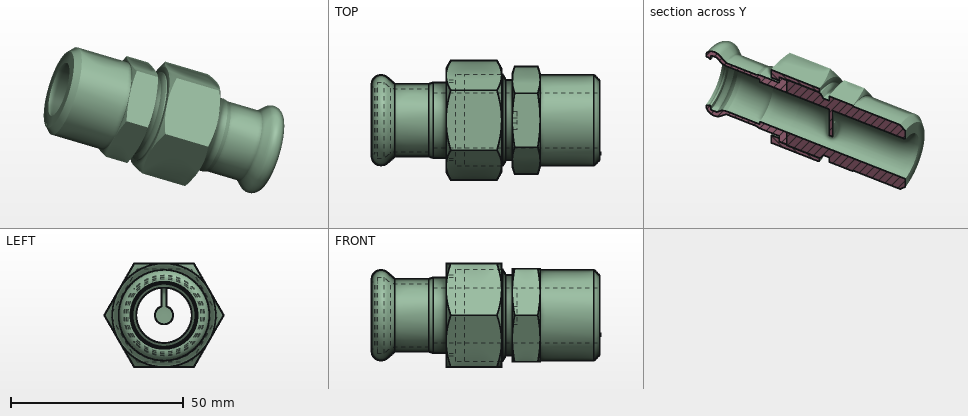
import cadquery as cq
import math


bead_tube_radius = 2.8
bead_outer_radius = 26.3 / 2
bead_cone_angle = math.radians(41)
bead_ring_radius = bead_outer_radius - bead_tube_radius
tube_radius = 21.2 / 2
sleeve_radius = 22.0 / 2
sleeve_start = 17.85
sleeve_taper = 1.2
collar_length = 2.65
lip_radius = 9.75
lip_depth = 0.8
mouth_radius = 18.8 / 2
mouth_start = 1.25
mouth_end = 1.7
groove_end = 5.45
groove_radius = 11.0
socket_radius = 18.2 / 2
socket_start = 6.9
socket_end = sleeve_start
bore_radius = 16.0 / 2

nut_start = 21.65
nut_end = 37.7
nut_flats = 30.0
nut_chamfer = 1.3
nut_lip = 2.65
nut_thread_radius = 13.3
nut_bore_radius = 23.4 / 2

joint_x = nut_start + nut_lip + collar_length
shoulder_end = 38.05
neck_start = 39.0
neck_radius = 23.4 / 2
hex_start = 40.85
hex_end = 48.9
hex_flats = 27.0
hex_chamfer = 0.65
spigot_radius = 26.4 / 2
total_length = 66.4
nub_height = 0.2
nub_diameter = 0.8
nub_y = -9.6
nub_z = -5.65
spigot_end = total_length - nub_height
spigot_chamfer = 1.7

disc_radius = 2.65
disc_thickness = 1.3
disc_start = hex_start
stem_width = 1.45
stem_embed = 0.65


def revolve_about_x(outline):
    """Turn a closed (x, radius) outline around the X axis."""
    return outline.close().revolve(360, (0, 0, 0), (1, 0, 0))


def cylinder(start, end, radius):
    return cq.Workplane("YZ", origin=(start, 0, 0)).circle(radius).extrude(end - start)


def chamfered_hexagon(start, end, flats, chamfer):
    """Hexagon bar with corners on the Y axis, turned down conically at both ends."""
    corner_radius = flats / math.sqrt(3)
    bar = cq.Workplane("YZ", origin=(start, 0, 0)).polygon(6, 2 * corner_radius).extrude(end - start)
    envelope = revolve_about_x(
        cq.Workplane("XY")
        .moveTo(start, 0)
        .lineTo(start, flats / 2)
        .lineTo(start + chamfer, corner_radius)
        .lineTo(end - chamfer, corner_radius)
        .lineTo(end, flats / 2)
        .lineTo(end, 0)
    )
    return bar.intersect(envelope)


def make_tube():
    cone_start = bead_tube_radius * (1 + math.sin(bead_cone_angle))
    cone_radius = bead_ring_radius + bead_tube_radius * math.cos(bead_cone_angle)
    cone_end = cone_start + (cone_radius - tube_radius) / math.tan(bead_cone_angle)
    groove_cone_start = groove_end - (groove_radius - mouth_radius) / math.tan(bead_cone_angle)
    collar_start = joint_x - collar_length
    return revolve_about_x(
        cq.Workplane("XY")
        .moveTo(0, bead_ring_radius)
        .threePointArc((bead_tube_radius, bead_outer_radius), (cone_start, cone_radius))
        .lineTo(cone_end, tube_radius)
        .lineTo(sleeve_start - sleeve_taper, tube_radius)
        .lineTo(sleeve_start, sleeve_radius)
        .lineTo(collar_start, sleeve_radius)
        .lineTo(collar_start, nut_thread_radius)
        .lineTo(joint_x, nut_thread_radius)
        .lineTo(joint_x, bore_radius)
        .lineTo(socket_end, bore_radius)
        .lineTo(socket_end, socket_radius)
        .lineTo(socket_start, socket_radius)
        .lineTo(groove_end, mouth_radius)
        .lineTo(groove_cone_start, groove_radius)
        .lineTo(mouth_end, groove_radius)
        .lineTo(mouth_end, mouth_radius)
        .lineTo(mouth_start, mouth_radius)
        .lineTo(lip_depth, lip_radius)
        .lineTo(0, lip_radius)
    )


def make_nut():
    nut = chamfered_hexagon(nut_start, nut_end, nut_flats, nut_chamfer)
    nut = nut.cut(cylinder(nut_start, nut_end, nut_bore_radius))
    return nut.cut(cylinder(nut_start + nut_lip, nut_end, nut_thread_radius))


def make_disc_on_stem():
    disc = cylinder(disc_start, disc_start + disc_thickness, disc_radius)
    stem = cq.Workplane("XY").box(
        disc_thickness, stem_width, bore_radius + stem_embed, centered=(False, True, False)
    )
    return disc.union(stem.translate((disc_start, 0, 0)))


def make_adaptor():
    turned = revolve_about_x(
        cq.Workplane("XY")
        .moveTo(joint_x, 0)
        .lineTo(joint_x, nut_thread_radius)
        .lineTo(shoulder_end, nut_thread_radius)
        .lineTo(neck_start, neck_radius)
        .lineTo(hex_end, neck_radius)
        .lineTo(hex_end, spigot_radius)
        .lineTo(spigot_end - spigot_chamfer, spigot_radius)
        .lineTo(spigot_end, spigot_radius - spigot_chamfer)
        .lineTo(spigot_end, 0)
    )
    body = turned.union(chamfered_hexagon(hex_start, hex_end, hex_flats, hex_chamfer))
    body = body.cut(cylinder(joint_x, spigot_end, bore_radius))
    nub = cylinder(hex_end, total_length, nub_diameter / 2).translate((0, nub_y, nub_z))
    return body.union(nub).union(make_disc_on_stem())


tube = make_tube()
nut = make_nut()
adaptor = make_adaptor()

result = cq.Compound.makeCompound([tube.val(), nut.val(), adaptor.val()])